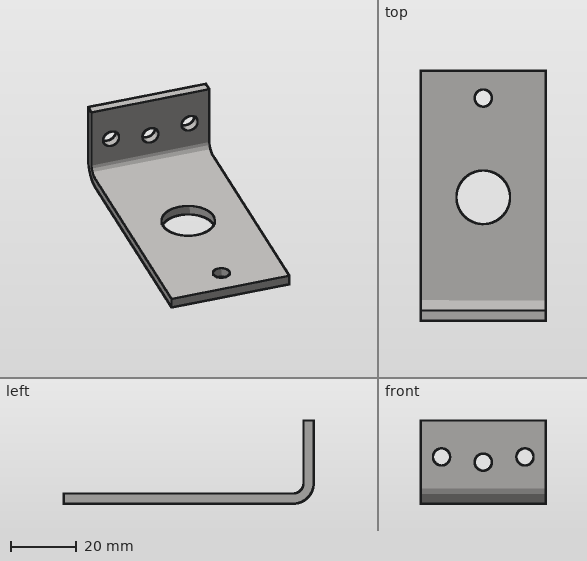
import cadquery as cq

thickness = 3.175
inner_bend_radius = thickness
outer_bend_radius = inner_bend_radius + thickness

width = 38.1
length = 76.2
height = 25.4

screw_hole_diameter = 5.159

base_screw_hole_from_edge = 8.382
large_hole_diameter = 16.256
large_hole_from_edge = 38.608

outer_hole_spacing = 25.4
outer_hole_height = 14.3
middle_hole_height = height / 2


def bent_plate():
    """L-shaped plate with the upright flange's outer face at Y = 0 and the underside at Z = 0."""
    profile = (
        cq.Workplane("YZ")
        .moveTo(length, 0)
        .lineTo(length, thickness)
        .lineTo(outer_bend_radius, thickness)
        .radiusArc((thickness, outer_bend_radius), inner_bend_radius)
        .lineTo(thickness, height)
        .lineTo(0, height)
        .lineTo(0, outer_bend_radius)
        .radiusArc((outer_bend_radius, 0), -outer_bend_radius)
        .close()
    )
    return profile.extrude(width / 2, both=True)


def base_hole(diameter, from_edge):
    """Vertical cutter through the base, centred across the width."""
    return cq.Workplane("XY").center(0, length - from_edge).circle(diameter / 2).extrude(thickness)


def flange_hole(x, z):
    """Screw hole cutter through the upright flange along Y."""
    return cq.Workplane("XZ").center(x, z).circle(screw_hole_diameter / 2).extrude(-thickness)


result = bent_plate()

result = result.cut(base_hole(screw_hole_diameter, base_screw_hole_from_edge))
result = result.cut(base_hole(large_hole_diameter, large_hole_from_edge))

flange_hole_centres = [
    (-outer_hole_spacing / 2, outer_hole_height),
    (0, middle_hole_height),
    (outer_hole_spacing / 2, outer_hole_height),
]
for hole_x, hole_z in flange_hole_centres:
    result = result.cut(flange_hole(hole_x, hole_z))